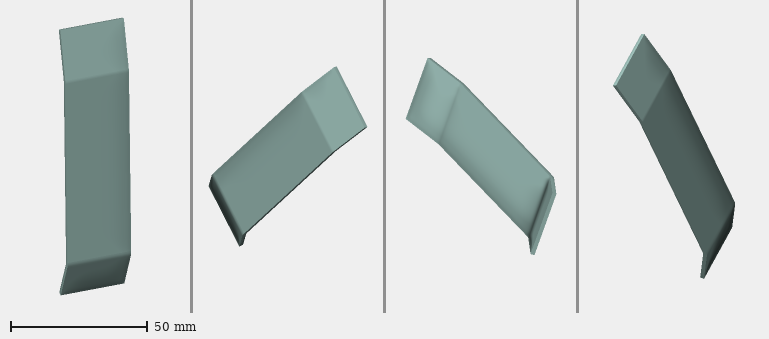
import cadquery as cq
import math

strip_width = 25.4
thickness = 1.524
inner_bend_radius = 3.75
outer_bend_radius = inner_bend_radius + thickness

lower_leg_length = 15.0
middle_leg_length = 72.01
upper_leg_length = 19.17
middle_leg_angle = 25.0
upper_leg_angle = 37.0

strip_lean = 9.795


def along_leg(point, length, angle):
    """Move a point by a signed length along a leg leaning towards -X."""
    lean = math.radians(angle)
    return (point[0] - length * math.sin(lean), point[1] + length * math.cos(lean))


def bend_point(center, radius, angle):
    """Point of a bend arc where the strip leans by the given angle."""
    lean = math.radians(angle)
    return (center[0] + radius * math.cos(lean), center[1] + radius * math.sin(lean))


def bend_arc(profile, center, radius, start_angle, end_angle):
    """Add one face of a bend, going from one lean angle to another."""
    middle_angle = (start_angle + end_angle) / 2
    middle = bend_point(center, radius, middle_angle)
    end = bend_point(center, radius, end_angle)
    return profile.threePointArc(middle, end)


def strip_profile():
    """Closed side outline in the XZ plane, with the outer bottom corner at the origin."""
    lower_center = (-outer_bend_radius, lower_leg_length)
    middle_leg_start = bend_point(lower_center, outer_bend_radius, middle_leg_angle)
    middle_leg_end = along_leg(middle_leg_start, middle_leg_length, middle_leg_angle)
    upper_center = bend_point(middle_leg_end, -outer_bend_radius, middle_leg_angle)

    upper_leg_outer = bend_point(upper_center, outer_bend_radius, upper_leg_angle)
    upper_leg_inner = bend_point(upper_center, inner_bend_radius, upper_leg_angle)
    outer_tip = along_leg(upper_leg_outer, upper_leg_length, upper_leg_angle)
    inner_tip = along_leg(upper_leg_inner, upper_leg_length, upper_leg_angle)

    profile = cq.Workplane("XZ").moveTo(0, 0).lineTo(0, lower_leg_length)
    profile = bend_arc(profile, lower_center, outer_bend_radius, 0, middle_leg_angle)
    profile = profile.lineTo(*middle_leg_end)
    profile = bend_arc(profile, upper_center, outer_bend_radius, middle_leg_angle, upper_leg_angle)
    profile = profile.lineTo(*outer_tip)

    profile = profile.lineTo(*inner_tip).lineTo(*upper_leg_inner)
    profile = bend_arc(profile, upper_center, inner_bend_radius, upper_leg_angle, middle_leg_angle)
    profile = profile.lineTo(*bend_point(lower_center, inner_bend_radius, middle_leg_angle))
    profile = bend_arc(profile, lower_center, inner_bend_radius, middle_leg_angle, 0)
    return profile.lineTo(-thickness, 0).close()


upright_strip = strip_profile().extrude(strip_width / 2, both=True)

result = upright_strip.rotate((0, 0, 0), (1, 0, 0), -strip_lean)